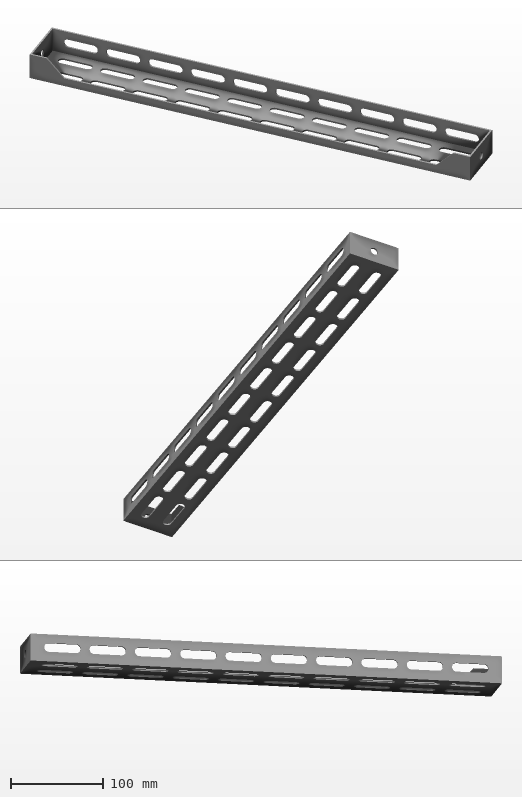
import cadquery as cq

length = 520.0
width = 60.0
height = 30.0
sheet = 2.0

slot_count = 10
slot_length = 40.0
slot_end_margin = 15.0
slot_pitch = (length - 2 * slot_end_margin - slot_length) / (slot_count - 1)
slot_width = 10.0
floor_row_spacing = 26.5
wall_slot_height = 15.5

gusset_top = 20.0
gusset_slope = 20.5
front_lip_height = height - gusset_slope

end_hole_diameter = 9.0
end_hole_height = 14.5


def tray():
    """Open-topped box with its underside on Z = 0, centred on X and Y."""
    outer = cq.Workplane("XY").box(length, width, height, centered=(True, True, False))
    cavity = (
        cq.Workplane("XY", origin=(0, 0, sheet))
        .box(length - 2 * sheet, width - 2 * sheet, height, centered=(True, True, False))
    )
    return outer.cut(cavity)


def floor_slots():
    """Two rows of slots along X, through the floor."""
    return (
        cq.Workplane("XY")
        .rarray(slot_pitch, floor_row_spacing, slot_count, 2)
        .slot2D(slot_length, slot_width)
        .extrude(sheet)
    )


def back_wall_slots():
    """One row of slots along X, through the wall on the +Y side."""
    return (
        cq.Workplane("XZ", origin=(0, width / 2, wall_slot_height))
        .rarray(slot_pitch, 5, slot_count, 1)
        .slot2D(slot_length, slot_width)
        .extrude(sheet)
    )


def front_wall_cutout():
    """Trapezoid removed from the wall on the -Y side, with sloping ends."""
    top_half = length / 2 - gusset_top
    bottom_half = top_half - gusset_slope
    return (
        cq.Workplane("XZ", origin=(0, -width / 2 + sheet, 0))
        .polyline([
            (-top_half, height),
            (-bottom_half, front_lip_height),
            (bottom_half, front_lip_height),
            (top_half, height),
        ])
        .close()
        .extrude(sheet)
    )


def end_holes():
    """One round bar along X that pierces both end walls."""
    return (
        cq.Workplane("YZ", origin=(-length / 2, 0, end_hole_height))
        .circle(end_hole_diameter / 2)
        .extrude(length)
    )


result = (
    tray()
    .cut(floor_slots())
    .cut(back_wall_slots())
    .cut(front_wall_cutout())
    .cut(end_holes())
)